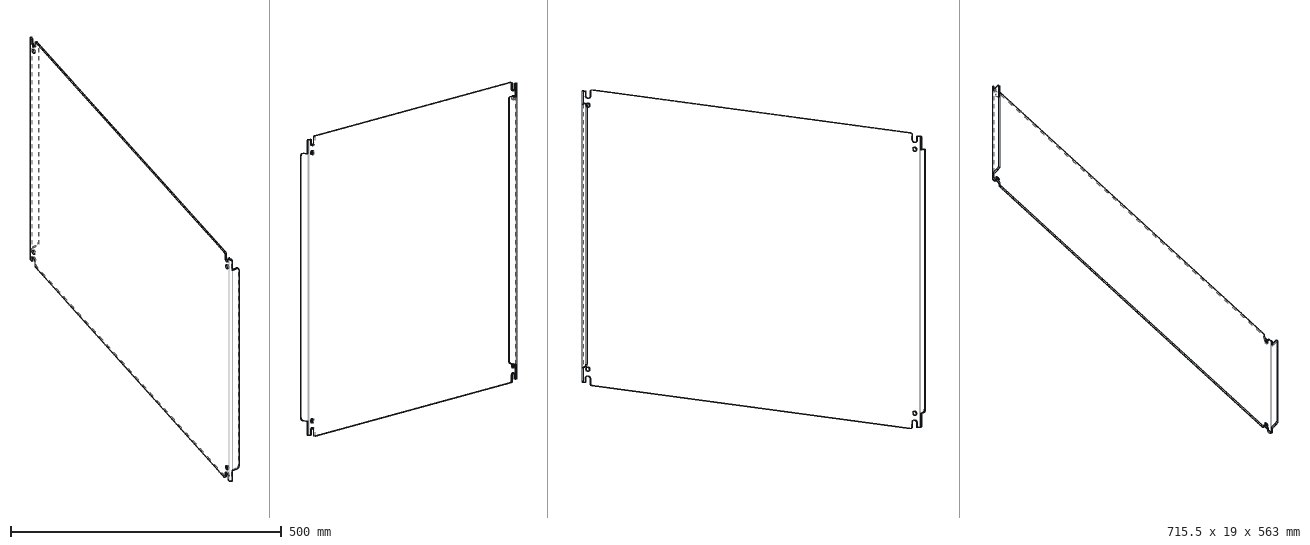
import cadquery as cq

width = 715.5
depth = 19.0
height = 563.0

thickness = 3.0
bend_outer_radius = 4.0
bend_inner_radius = bend_outer_radius - thickness

edge_inset = 4.0
edge_corner_radius = 2.0
flange_inset = 31.0
flange_corner_radius = 6.0
panel_corner_radius = 3.0

notch_outer = 8.5
notch_width = 11.0
notch_depth = 17.0

hole_diameter = 8.0
hole_side_margin = 13.5
hole_end_margin = 30.0

front = -depth / 2
back = depth / 2
half_width = width / 2
half_height = height / 2
edge_height = height - 2 * edge_inset
flange_height = height - 2 * flange_inset
bend_x = half_width - bend_outer_radius
bend_y = front + bend_outer_radius
notch_center_x = half_width - notch_outer - notch_width / 2


def plate(size_x, size_z):
    """Flat sheet on the front face, centred in X and Z."""
    return cq.Workplane("XY").box(size_x, thickness, size_z).translate((0, front + thickness / 2, 0))


def make_panel():
    """Front sheet: a tall panel joined to the shorter strips beside it."""
    inner_width = 2 * (notch_center_x - notch_width / 2)
    tall = plate(inner_width, height).edges("|Y").fillet(panel_corner_radius)
    return tall.union(plate(2 * bend_x, edge_height))


def make_bend():
    """Quarter-round bend along the right side, with its ends rounded off at the outer corners."""
    diagonal = 0.5 ** 0.5
    outer_mid = (bend_x + bend_outer_radius * diagonal, bend_y - bend_outer_radius * diagonal)
    inner_mid = (bend_x + bend_inner_radius * diagonal, bend_y - bend_inner_radius * diagonal)
    bend = (
        cq.Workplane("XY", origin=(0, 0, -edge_height / 2))
        .moveTo(bend_x, front)
        .threePointArc(outer_mid, (half_width, bend_y))
        .lineTo(half_width - thickness, bend_y)
        .threePointArc(inner_mid, (bend_x, front + thickness))
        .close()
        .extrude(edge_height)
    )
    rounded_outline = cq.Workplane("XY").box(width, depth, edge_height).edges("|Y").fillet(edge_corner_radius)
    return bend.intersect(rounded_outline)


def make_flange():
    """Rearward flange on the right side, rounded at its free corners."""
    flange_depth = back - bend_y
    return (
        cq.Workplane("XY")
        .box(thickness, flange_depth, flange_height)
        .edges("|X and >Y")
        .fillet(flange_corner_radius)
        .translate((half_width - thickness / 2, bend_y + flange_depth / 2, 0))
    )


def cut_notch(body, side, end):
    """Open-ended slot between a side strip and the tall panel."""
    x = side * notch_center_x
    floor_center = half_height - notch_depth + notch_width / 2
    opening = half_height - floor_center
    slot = cq.Workplane("XY").box(notch_width, depth, opening)
    slot = slot.translate((x, 0, end * (floor_center + opening / 2)))
    floor = (
        cq.Workplane("XZ", origin=(x, 0, end * floor_center))
        .circle(notch_width / 2)
        .extrude(depth / 2, both=True)
    )
    return body.cut(slot).cut(floor)


right_side = make_bend().union(make_flange())
result = make_panel().union(right_side).union(right_side.mirror("YZ"))
for side in (-1, 1):
    for end in (-1, 1):
        result = cut_notch(result, side, end)

hole_x = width - 2 * hole_side_margin
hole_z = height - 2 * hole_end_margin
holes = (
    cq.Workplane("XZ")
    .rect(hole_x, hole_z, forConstruction=True)
    .vertices()
    .circle(hole_diameter / 2)
    .extrude(depth, both=True)
)
result = result.cut(holes)